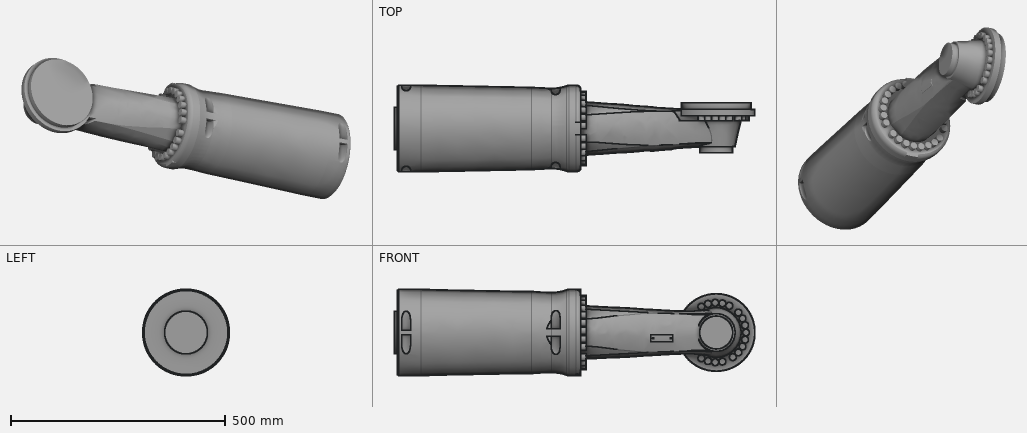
import cadquery as cq
import math

overall_length = 841.55
housing_radius = 101.0

spigot_radius = 50.0
housing_start_x = 8.0
rear_chamfer = 3.0
taper_start_x = 62.0
taper_end_x = 320.0
taper_end_radius = 96.0
neck_start_x = 366.0
neck_radius = 93.7
neck_mid_x = 386.0
neck_mid_radius = 95.2
neck_end_x = 402.0
neck_end_radius = 99.5
collar_start_x = 407.0
collar_round_x = 424.0
collar_end_x = 435.0
collar_end_radius = 94.0
collar_tab_width = 30.0

grip_radius = 10.5
rear_grip_x = 28.2
rear_grip_floor = 88.0
rear_grip_rib = 10.0
front_grip_x = 376.5
front_grip_floor = 79.0
front_grip_rib = 17.0
front_grip_flare_x = 358.0
front_grip_flare_y = 93.0
grip_reach = 60.0

group_count = 3
bolts_per_group = 8
bolt_pitch_angle = 14.0
head_radius = 8.0
collar_head_height = 13.0
collar_bolt_circle = 79.0
collar_first_angle = -13.0
wrist_head_height = 11.0
wrist_bolt_circle = 69.3
wrist_first_angle = -56.0

flange_radius = 90.5
wrist_x = overall_length - flange_radius
flange_bottom_y = 29.4
flange_top_y = 44.4
disc_radius = 81.5
disc_top_y = 60.4
hub_large_radius = 58.0
hub_large_y = flange_bottom_y - wrist_head_height
hub_small_radius = 44.0
hub_small_y = -42.0
cap_radius = 38.5
cap_end_y = -57.0
clearance_floor_radius = 98.0
clearance_top_radius = 111.0
clearance_web_width = 80.0
wrist_bolt_limit_x = -40.0

arm_base_radius = 63.0
arm_base_edge = 31.0
arm_throat_x = 509.0
arm_mid_x = 583.0
arm_shoulder_x = 690.0

plate_start_x = 599.0
plate_length = 51.0
plate_top_z = -5.5
plate_height = 16.0
plate_thickness = 1.0
rivet_radius = 1.5
rivet_inset = 5.0


def make_housing():
    """Revolved housing with its rear spigot and front collar."""
    profile = (
        cq.Workplane("XY")
        .moveTo(0, 0)
        .lineTo(0, spigot_radius)
        .lineTo(housing_start_x, spigot_radius)
        .lineTo(housing_start_x, housing_radius - rear_chamfer)
        .lineTo(housing_start_x + rear_chamfer, housing_radius)
        .lineTo(taper_start_x, housing_radius)
        .lineTo(taper_end_x, taper_end_radius)
        .lineTo(neck_start_x, neck_radius)
        .threePointArc((neck_mid_x, neck_mid_radius), (neck_end_x, neck_end_radius))
        .lineTo(collar_start_x, housing_radius)
        .lineTo(collar_round_x, housing_radius)
        .tangentArcPoint((collar_end_x, collar_end_radius), relative=False)
        .lineTo(collar_end_x, 0)
        .close()
    )
    return profile.revolve(360, (0, 0, 0), (1, 0, 0))


def make_collar_tabs():
    """Square-cornered tabs filling the collar round at the top and bottom."""
    tab_length = collar_end_x - collar_round_x
    rim = cq.Workplane("YZ", origin=(collar_round_x, 0, 0)).circle(housing_radius).extrude(tab_length)
    bar = (
        cq.Workplane("YZ", origin=(collar_round_x, 0, 0))
        .rect(collar_tab_width, 2 * housing_radius)
        .extrude(tab_length)
    )
    return rim.intersect(bar)


def mirrored_grips(profile, rib_width):
    """Scoops of one XY profile on both sides of a rib, on the -Y and +Y faces."""
    scoop = profile.extrude(grip_reach).translate((0, 0, rib_width / 2))
    scoop = scoop.union(scoop.mirror("XY"))
    return scoop.union(scoop.mirror("XZ"))


def make_rear_grips():
    """Round-bottomed grips in the rear cap."""
    axis_y = rear_grip_floor + grip_radius
    profile = (
        cq.Workplane("XY")
        .moveTo(rear_grip_x - grip_radius, housing_radius + grip_radius)
        .lineTo(rear_grip_x - grip_radius, axis_y)
        .threePointArc((rear_grip_x, rear_grip_floor), (rear_grip_x + grip_radius, axis_y))
        .lineTo(rear_grip_x + grip_radius, housing_radius + grip_radius)
        .close()
    )
    return mirrored_grips(profile, rear_grip_rib)


def make_front_grips():
    """Round-bottomed grips at the neck, flared towards the rear."""
    axis_y = front_grip_floor + grip_radius
    flare_slope = (front_grip_x - grip_radius - front_grip_flare_x) / (front_grip_flare_y - axis_y)
    outer_y = housing_radius
    outer_x = front_grip_x - grip_radius - flare_slope * (outer_y - axis_y)
    profile = (
        cq.Workplane("XY")
        .moveTo(outer_x, outer_y)
        .lineTo(front_grip_x - grip_radius, axis_y)
        .threePointArc((front_grip_x, front_grip_floor), (front_grip_x + grip_radius, axis_y))
        .lineTo(front_grip_x + grip_radius, outer_y)
        .close()
    )
    return mirrored_grips(profile, front_grip_rib)


def bolt_points(circle_radius, first_angle):
    """Bolt centres: equal groups, evenly spaced round the circle."""
    points = []
    for group in range(group_count):
        group_angle = first_angle + group * 360.0 / group_count
        for index in range(bolts_per_group):
            angle = math.radians(group_angle + index * bolt_pitch_angle)
            points.append((circle_radius * math.cos(angle), circle_radius * math.sin(angle)))
    return points


def make_collar_bolts():
    """Bolt heads standing on the front face of the collar."""
    return (
        cq.Workplane("YZ", origin=(collar_end_x, 0, 0))
        .pushPoints(bolt_points(collar_bolt_circle, collar_first_angle))
        .circle(head_radius)
        .extrude(collar_head_height)
    )


def make_wrist_bolts():
    """Bolt heads on the -Y face of the wrist flange, left out underneath the arm."""
    points = bolt_points(wrist_bolt_circle, wrist_first_angle)
    open_points = [point for point in points if point[0] > wrist_bolt_limit_x]
    return (
        cq.Workplane("XZ", origin=(wrist_x, flange_bottom_y, 0))
        .pushPoints(open_points)
        .circle(head_radius)
        .extrude(wrist_head_height)
    )


def arm_section(x, front, front_edge, top_front_edge, top, top_back_edge, back_edge, back):
    """Closed arm section: four bowed sides joined by straight corner facets.

    front and back are the Y extents, top is the Z extent and each edge is a (y, z) corner.
    """
    def low(point):
        return (point[0], -point[1])

    top_middle = ((top_front_edge[0] + top_back_edge[0]) / 2, top)
    outline = (
        cq.Workplane("YZ", origin=(x, 0, 0))
        .moveTo(*low(front_edge))
        .threePointArc((front, 0), front_edge)
        .lineTo(*top_front_edge)
        .threePointArc(top_middle, top_back_edge)
        .lineTo(*back_edge)
        .threePointArc((back, 0), low(back_edge))
        .lineTo(*low(top_back_edge))
        .threePointArc(low(top_middle), low(top_front_edge))
        .close()
    )
    return outline.wire().val()


def make_arm():
    """Arm lofted from a round base to the squarer section at the wrist."""
    across = math.sqrt(arm_base_radius**2 - arm_base_edge**2)
    base = arm_section(
        collar_end_x,
        front=-arm_base_radius,
        front_edge=(-across, arm_base_edge),
        top_front_edge=(-arm_base_edge, across),
        top=arm_base_radius,
        top_back_edge=(arm_base_edge, across),
        back_edge=(across, arm_base_edge),
        back=arm_base_radius,
    )
    throat = arm_section(
        arm_throat_x,
        front=-58.0,
        front_edge=(-47.7, 38.0),
        top_front_edge=(-35.0, 51.0),
        top=59.3,
        top_back_edge=(36.0, 51.0),
        back_edge=(48.0, 38.0),
        back=58.0,
    )
    middle = arm_section(
        arm_mid_x,
        front=-53.0,
        front_edge=(-41.0, 45.0),
        top_front_edge=(-39.0, 47.0),
        top=55.0,
        top_back_edge=(40.0, 47.0),
        back_edge=(42.0, 45.0),
        back=52.0,
    )
    shoulder = arm_section(
        arm_shoulder_x,
        front=-44.5,
        front_edge=(-36.0, 42.0),
        top_front_edge=(-34.5, 43.5),
        top=49.5,
        top_back_edge=(38.0, 48.0),
        back_edge=(40.0, 46.0),
        back=44.5,
    )
    end = arm_section(
        wrist_x,
        front=-41.0,
        front_edge=(-34.5, 44.0),
        top_front_edge=(-33.0, 45.5),
        top=52.8,
        top_back_edge=(flange_bottom_y, hub_large_radius),
        back_edge=(40.0, 56.0),
        back=flange_top_y,
    )
    return cq.Workplane(cq.Solid.makeLoft([base, throat, middle, shoulder, end], False))


def make_bolt_clearance():
    """Flared pockets above and below a central web, clearing the arm from the wrist bolt heads."""
    profile = (
        cq.Workplane("XY", origin=(wrist_x, 0, 0))
        .moveTo(0, hub_large_y)
        .lineTo(clearance_floor_radius, hub_large_y)
        .lineTo(clearance_top_radius, flange_top_y)
        .lineTo(clearance_top_radius, disc_top_y)
        .lineTo(0, disc_top_y)
        .close()
    )
    flare = profile.revolve(360, (0, 0, 0), (0, 1, 0))
    web_size = 2 * clearance_top_radius
    web = cq.Workplane("XY", origin=(wrist_x, 0, 0)).box(web_size, web_size, clearance_web_width)
    return flare.cut(web)


def make_wrist():
    """Wrist hub, cap, flange and disc turned about the wrist axis."""
    profile = (
        cq.Workplane("XY", origin=(wrist_x, 0, 0))
        .moveTo(0, cap_end_y)
        .lineTo(cap_radius, cap_end_y)
        .lineTo(cap_radius, hub_small_y)
        .lineTo(hub_small_radius, hub_small_y)
        .lineTo(hub_large_radius, hub_large_y)
        .lineTo(hub_large_radius, flange_bottom_y)
        .lineTo(flange_radius, flange_bottom_y)
        .lineTo(flange_radius, flange_top_y)
        .lineTo(disc_radius, flange_top_y)
        .lineTo(disc_radius, disc_top_y)
        .lineTo(0, disc_top_y)
        .close()
    )
    return profile.revolve(360, (0, 0, 0), (0, 1, 0))


def make_name_plate(arm):
    """Thin plate with two rivets that follows the bowed -Y face of the arm."""
    plate_x = plate_start_x + plate_length / 2
    plate_z = plate_top_z - plate_height / 2
    rivet_spacing = plate_length - 2 * rivet_inset
    face = cq.Workplane("XZ", origin=(plate_x, 0, plate_z))
    plate = face.rect(plate_length, plate_height).extrude(arm_base_radius)
    rivets = face.rarray(rivet_spacing, 1, 2, 1).circle(rivet_radius).extrude(arm_base_radius)
    plate = plate.intersect(arm.translate((0, -plate_thickness, 0)))
    rivets = rivets.intersect(arm.translate((0, -2 * plate_thickness, 0)))
    return plate.union(rivets)


housing = make_housing().union(make_collar_tabs())
housing = housing.cut(make_rear_grips()).cut(make_front_grips())

arm = make_arm()
name_plate = make_name_plate(arm)
arm = arm.cut(make_bolt_clearance())

result = housing.union(arm).union(name_plate).union(make_wrist())
result = result.union(make_collar_bolts()).union(make_wrist_bolts())